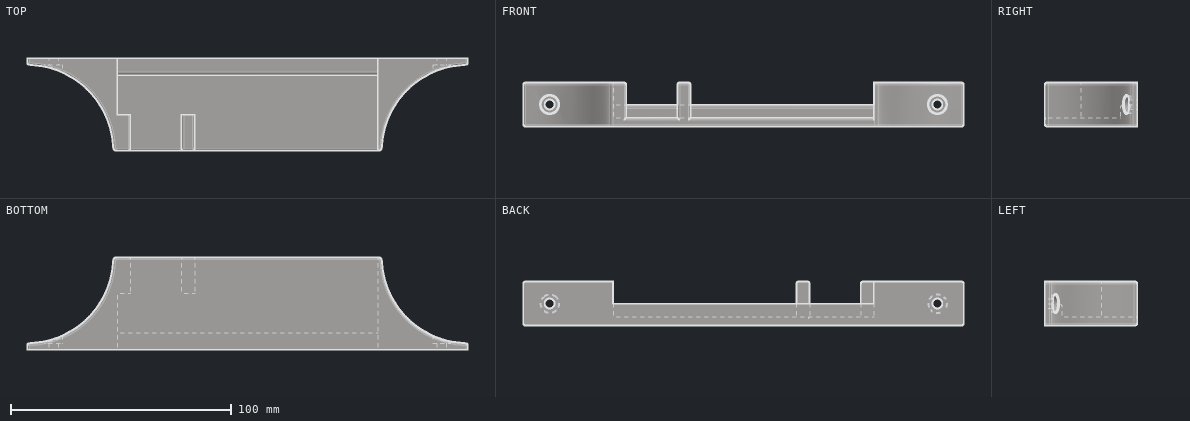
import cadquery as cq
import math

length = 200.0
depth = 42.0
height = 20.0

flank_radius = 39.0

tray_width = 118.5
floor_thickness = 4.0

ledge_depth = 7.8
ledge_height = 10.0
ledge_round = 1.5

stop_depth = 16.5
stop_width = 6.0
post_start = -30.0

edge_round = 1.0
corner_round = 1.5

hole_offset = 88.0
hole_diameter = 4.5
bore_diameter = 8.0
bore_depth = 2.0
bore_chamfer = 0.5

pick_margin = 0.2

half_length = length / 2
half_tray = tray_width / 2
front = -depth
stop_back = front + stop_depth
flank_end = half_length - flank_radius
corner_stop_end = stop_width - half_tray
post_end = post_start + stop_width


def box(x_start, x_end, y_start, y_end, z_start, z_end):
    """Box spanning the given limits."""
    size = (x_end - x_start, y_end - y_start, z_end - z_start)
    return cq.Workplane("XY").box(*size, centered=False).translate((x_start, y_start, z_start))


def centred_at(x, y, z):
    """Selector for edges whose centre lies at the given point."""
    low = (x - pick_margin, y - pick_margin, z - pick_margin)
    high = (x + pick_margin, y + pick_margin, z + pick_margin)
    return cq.selectors.BoxSelector(low, high)


def make_body():
    """Block with concave flanks, hollowed to a tray with a ledge and two stops."""
    body = box(-half_length, half_length, front, 0, 0, height)
    for side in (-1, 1):
        flank = cq.Workplane("XY").center(side * half_length, front).circle(flank_radius)
        body = body.cut(flank.extrude(height))
    body = body.cut(box(-half_tray, half_tray, front, -ledge_depth, floor_thickness, height))
    body = body.cut(box(-half_tray, half_tray, -ledge_depth, 0, ledge_height, height))
    for start, end in ((-half_tray, corner_stop_end), (post_start, post_end)):
        body = body.union(box(start, end, front, stop_back, floor_thickness, height))
    return body


def round_edges(body):
    """Round the ledge, the upright front corners, the front outline, flanks, ear ends and stops."""
    body = body.edges(centred_at(0, -ledge_depth, ledge_height)).fillet(ledge_round)
    for side in (-1, 1):
        body = body.edges(centred_at(side * flank_end, front, height / 2)).fillet(corner_round)

    exposed = body.faces("<Y").edges("|X")
    exposed = exposed.add(body.faces("<Z or >Z").edges("%CIRCLE"))
    exposed = exposed.add(body.faces("<X or >X").edges("<Y or <Z or >Z"))
    stop_middle = front + stop_depth / 2
    wall_middle = (floor_thickness + height) / 2
    for x in (corner_stop_end, post_start, post_end):
        exposed = exposed.add(body.edges(centred_at(x, stop_middle, height)))
        exposed = exposed.add(body.edges(centred_at(x, front, wall_middle)))
    return exposed.fillet(edge_round)


def cut_mounting_hole(body, x):
    """Cut a hole through the ear at the given X, counterbored from the curved flank."""
    surface_y = front + math.sqrt(flank_radius ** 2 - (half_length - abs(x)) ** 2)
    floor_y = surface_y + bore_depth
    axis = cq.Workplane("XZ").center(x, height / 2)
    body = body.cut(axis.circle(hole_diameter / 2).extrude(depth))
    bore = axis.workplane(offset=-floor_y).circle(bore_diameter / 2).extrude(floor_y - front)
    body = body.cut(bore)
    bore_reach = bore_diameter / 2 + pick_margin
    low = (x - bore_reach, front, height / 2 - bore_reach)
    high = (x + bore_reach, floor_y - pick_margin, height / 2 + bore_reach)
    rim = cq.selectors.BoxSelector(low, high, boundingbox=True)
    return body.edges(rim).chamfer(bore_chamfer)


result = round_edges(make_body())
for side in (-1, 1):
    result = cut_mounting_hole(result, side * hole_offset)